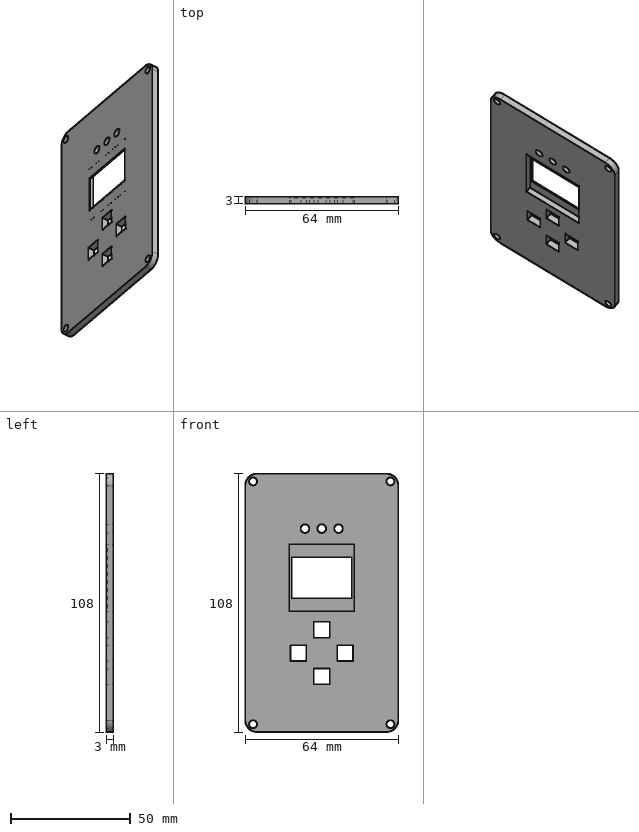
import cadquery as cq

panel_width = 64.0
panel_height = 108.0
panel_thickness = 3.0
corner_radius = 5.0

mount_hole_diameter = 3.2
mount_hole_inset = 3.3

light_hole_diameter = 3.5
light_pitch = 7.0
light_count = 3
light_row_z = 31.0

display_z = 10.5
recess_width = 27.0
recess_height = 28.0
window_width = 25.0
window_height = 17.0
ledge_thickness = 0.5

button_size = 6.5
button_offset = 9.75
button_cross_z = -21.0

recess_depth = panel_thickness - ledge_thickness
front_y = -panel_thickness / 2
mount_x = panel_width / 2 - mount_hole_inset
mount_z = panel_height / 2 - mount_hole_inset


def make_panel():
    """Flat plate with its four corners rounded."""
    plate = cq.Workplane("XY").box(panel_width, panel_thickness, panel_height)
    return plate.edges("|Y").fillet(corner_radius)


def round_cutter(x, z, diameter):
    """Cylinder along Y that passes through the full panel thickness."""
    return (
        cq.Workplane("XZ")
        .center(x, z)
        .circle(diameter / 2)
        .extrude(panel_thickness, both=True)
    )


def front_cutter(x, z, width, height, depth):
    """Rectangular block that reaches the given depth behind the front face."""
    block = cq.Workplane("XY").box(width, depth, height)
    return block.translate((x, front_y + depth / 2, z))


def cut_mount_holes(body):
    for x in (-mount_x, mount_x):
        for z in (-mount_z, mount_z):
            body = body.cut(round_cutter(x, z, mount_hole_diameter))
    return body


def cut_light_holes(body):
    first_x = -light_pitch * (light_count - 1) / 2
    for index in range(light_count):
        x = first_x + index * light_pitch
        body = body.cut(round_cutter(x, light_row_z, light_hole_diameter))
    return body


def cut_display(body):
    recess = front_cutter(0, display_z, recess_width, recess_height, recess_depth)
    window = front_cutter(0, display_z, window_width, window_height, panel_thickness)
    return body.cut(recess).cut(window)


def cut_buttons(body):
    for x_step, z_step in ((0, 1), (0, -1), (1, 0), (-1, 0)):
        x = x_step * button_offset
        z = button_cross_z + z_step * button_offset
        body = body.cut(front_cutter(x, z, button_size, button_size, panel_thickness))
    return body


result = make_panel()
result = cut_mount_holes(result)
result = cut_light_holes(result)
result = cut_display(result)
result = cut_buttons(result)